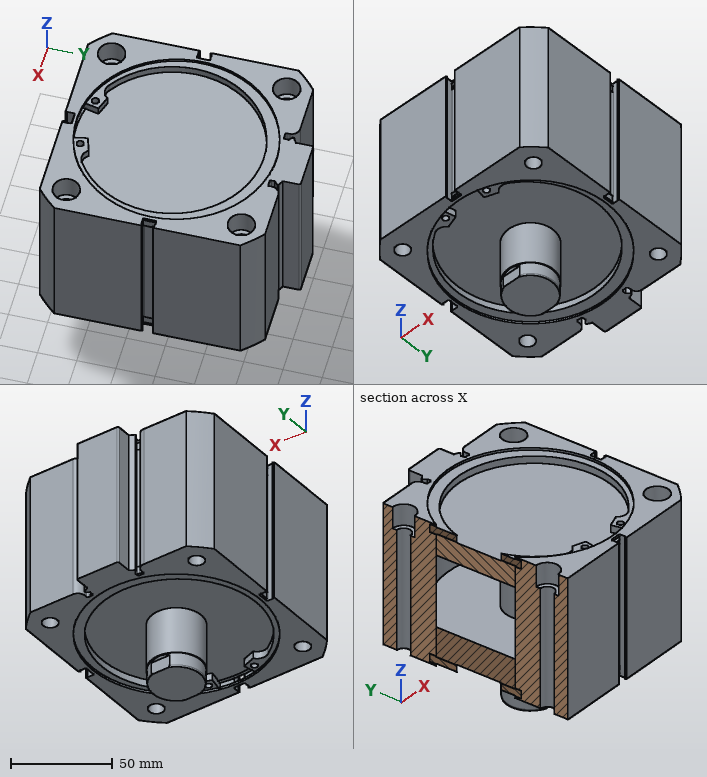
import cadquery as cq
import math


WIDTH = 115.0
TOTAL_DEPTH = 124.0
HALF_WIDTH = WIDTH / 2
HEIGHT = 82.5
CORNER_RADIUS = 74.5
BORE_RADIUS = 51.0

BLOCK_WIDTH = 25.3
BLOCK_TOP = TOTAL_DEPTH - HALF_WIDTH
BLOCK_EDGE_FILLET = 1.0
BARB_TIP_X = 15.5
BARB_TIP_TOP_Y = 56.0
BARB_TIP_BOTTOM_Y = 55.3
BARB_ROOT_Y = 53.7
GROOVE_INNER_X = 13.6
GROOVE_OUTER_X = 17.4
GROOVE_FLOOR_Y = 51.1
GROOVE_FLOOR_FILLET = 0.7
GROOVE_LIP_RADIUS = 4.2

SLOT_DEPTH = 4.7
SLOT_HALF_WIDTH = 3.3
SLOT_FLOOR_FILLET = 0.5
MOUTH_HALF_WIDTH = 2.6
MOUTH_CHAMFER = 0.5
LIP_DEPTH = 0.9
SLOT_ANGLES = (0, 180, 270)

BOLT_SPACING = 89.3
BOLT_DIAMETER = 8.4
COUNTERBORE_DIAMETER = 13.6
COUNTERBORE_DEPTH = 12.4

RING_INSET = 1.4
RING_THICKNESS = 4.2
RING_RADIUS = 53.0
RING_INNER_RADIUS = 46.7
RING_ECCENTRICITY = 2.2
RING_TURN = -0.8
GAP_OUTER_X = 11.7
LUG_TIP = (9.8, -42.7)
LUG_SHOULDER = (17.4, -40.0)
LUG_HOLLOW = (21.6, -42.5)
LUG_END_X = 25.3
LUG_HOLE = (14.1, -45.4)
LUG_HOLE_DIAMETER = 3.6
RING_BOTTOMS = (RING_INSET, HEIGHT - RING_INSET - RING_THICKNESS)

COVER_INSET = RING_INSET + RING_THICKNESS
REAR_COVER_THICKNESS = 12.4
FRONT_COVER_THICKNESS = 17.4
REAR_COVER_BOTTOM = HEIGHT - COVER_INSET - REAR_COVER_THICKNESS

ROD_LENGTH_OUTSIDE = 30.0
ROD_RADIUS = 15.0
TIP_RADIUS = 14.6
TIP_LENGTH = 8.4
TIP_CHAMFER_HEIGHT = 1.1
TIP_CHAMFER_WIDTH = 0.2
FLATS_DISTANCE = 27.0
FLATS_RAMP = 1.2


def mirrored_x(point):
    return (-point[0], point[1])


def centred_cylinder(radius, bottom, height):
    return cq.Workplane("XY").workplane(offset=bottom).circle(radius).extrude(height)


def port_block():
    """Block carried by the +Y face, overlapping the square body below that face."""
    depth = BLOCK_TOP - GROOVE_FLOOR_Y
    return (
        cq.Workplane("XY")
        .center(0, GROOVE_FLOOR_Y + depth / 2)
        .rect(BLOCK_WIDTH, depth)
        .extrude(HEIGHT)
        .edges("|Z and >Y")
        .fillet(BLOCK_EDGE_FILLET)
    )


def block_groove():
    """Barbed groove on the +X side of the port block."""
    lip_end_x = GROOVE_OUTER_X + GROOVE_LIP_RADIUS
    lip_start_y = HALF_WIDTH - GROOVE_LIP_RADIUS
    lip_mid = (
        lip_end_x - GROOVE_LIP_RADIUS * math.sqrt(0.5),
        lip_start_y + GROOVE_LIP_RADIUS * math.sqrt(0.5),
    )
    return (
        cq.Workplane("XY")
        .moveTo(BLOCK_WIDTH / 2, HALF_WIDTH)
        .lineTo(BARB_TIP_X, BARB_TIP_TOP_Y)
        .lineTo(BARB_TIP_X, BARB_TIP_BOTTOM_Y)
        .lineTo(GROOVE_INNER_X, BARB_ROOT_Y)
        .lineTo(GROOVE_INNER_X, GROOVE_FLOOR_Y)
        .lineTo(GROOVE_OUTER_X, GROOVE_FLOOR_Y)
        .lineTo(GROOVE_OUTER_X, lip_start_y)
        .threePointArc(lip_mid, (lip_end_x, HALF_WIDTH))
        .close()
        .extrude(HEIGHT)
        .edges("|Z and <Y")
        .fillet(GROOVE_FLOOR_FILLET)
    )


def sensor_slot(angle):
    """Slot in the +X face with a narrow, chamfered mouth, turned about Z by the angle."""
    floor_x = HALF_WIDTH - SLOT_DEPTH
    lip_x = HALF_WIDTH - LIP_DEPTH
    half_outline = [
        (floor_x, SLOT_HALF_WIDTH),
        (lip_x, SLOT_HALF_WIDTH),
        (lip_x, MOUTH_HALF_WIDTH),
        (HALF_WIDTH - MOUTH_CHAMFER, MOUTH_HALF_WIDTH),
        (HALF_WIDTH, MOUTH_HALF_WIDTH + MOUTH_CHAMFER),
    ]
    other_half = [(x, -y) for x, y in reversed(half_outline)]
    slot = (
        cq.Workplane("XY")
        .polyline(half_outline + other_half)
        .close()
        .extrude(HEIGHT)
        .edges("|Z and <X")
        .fillet(SLOT_FLOOR_FILLET)
    )
    return slot.rotate((0, 0, 0), (0, 0, 1), angle)


def make_housing():
    body = cq.Workplane("XY").rect(WIDTH, WIDTH).extrude(HEIGHT)
    body = body.intersect(centred_cylinder(CORNER_RADIUS, 0, HEIGHT))
    body = body.union(port_block())
    groove = block_groove()
    body = body.cut(groove).cut(groove.mirror("YZ"))
    for angle in SLOT_ANGLES:
        body = body.cut(sensor_slot(angle))
    body = (
        body.faces(">Z")
        .workplane(origin=(0, 0, HEIGHT))
        .rect(BOLT_SPACING, BOLT_SPACING, forConstruction=True)
        .vertices()
        .cboreHole(BOLT_DIAMETER, COUNTERBORE_DIAMETER, COUNTERBORE_DEPTH)
    )
    body = body.cut(centred_cylinder(BORE_RADIUS, 0, HEIGHT))
    for bottom in RING_BOTTOMS:
        body = body.cut(centred_cylinder(RING_RADIUS, bottom, RING_THICKNESS))
    return body


def make_retaining_ring(bottom):
    """Open ring with an eccentric inside and a pierced lug on each side of its gap."""
    gap_corner = (GAP_OUTER_X, -math.sqrt(RING_RADIUS**2 - GAP_OUTER_X**2))
    lug_end_drop = math.sqrt(RING_INNER_RADIUS**2 - LUG_END_X**2)
    lug_end = (LUG_END_X, -RING_ECCENTRICITY - lug_end_drop)
    ring = (
        cq.Workplane("XY")
        .workplane(offset=bottom)
        .moveTo(*gap_corner)
        .threePointArc((0, RING_RADIUS), mirrored_x(gap_corner))
        .lineTo(*mirrored_x(LUG_TIP))
        .lineTo(*mirrored_x(LUG_SHOULDER))
        .threePointArc(mirrored_x(LUG_HOLLOW), mirrored_x(lug_end))
        .threePointArc((0, RING_INNER_RADIUS - RING_ECCENTRICITY), lug_end)
        .threePointArc(LUG_HOLLOW, LUG_SHOULDER)
        .lineTo(*LUG_TIP)
        .close()
        .extrude(RING_THICKNESS)
    )
    holes = (
        cq.Workplane("XY")
        .workplane(offset=bottom)
        .pushPoints([LUG_HOLE, mirrored_x(LUG_HOLE)])
        .circle(LUG_HOLE_DIAMETER / 2)
        .extrude(RING_THICKNESS)
    )
    return ring.cut(holes).rotate((0, 0, 0), (0, 0, 1), RING_TURN)


def make_rear_cover():
    return centred_cylinder(BORE_RADIUS, REAR_COVER_BOTTOM, REAR_COVER_THICKNESS)


def make_front_cover():
    cover = centred_cylinder(BORE_RADIUS, COVER_INSET, FRONT_COVER_THICKNESS)
    return cover.cut(centred_cylinder(ROD_RADIUS, COVER_INSET, FRONT_COVER_THICKNESS))


def flat_cutter():
    """Material removed on the +Y side of the rod tip; a 45 degree ramp ends it at the shoulder."""
    end_z = -ROD_LENGTH_OUTSIDE
    shoulder_z = end_z + TIP_LENGTH
    flat_y = FLATS_DISTANCE / 2
    outline = [
        (flat_y, end_z),
        (ROD_RADIUS, end_z),
        (ROD_RADIUS, shoulder_z),
        (flat_y + FLATS_RAMP, shoulder_z),
        (flat_y, shoulder_z - FLATS_RAMP),
    ]
    return cq.Workplane("YZ").polyline(outline).close().extrude(ROD_RADIUS, both=True)


def make_rod():
    """Round rod reaching up to the rear cover, with a reduced tip that has two wrench flats."""
    end_z = -ROD_LENGTH_OUTSIDE
    shoulder_z = end_z + TIP_LENGTH
    profile = [
        (0, end_z),
        (TIP_RADIUS - TIP_CHAMFER_WIDTH, end_z),
        (TIP_RADIUS, end_z + TIP_CHAMFER_HEIGHT),
        (TIP_RADIUS, shoulder_z),
        (ROD_RADIUS, shoulder_z),
        (ROD_RADIUS, REAR_COVER_BOTTOM),
        (0, REAR_COVER_BOTTOM),
    ]
    rod = cq.Workplane("XZ").polyline(profile).close().revolve(360, (0, 0, 0), (0, 1, 0))
    cutter = flat_cutter()
    return rod.cut(cutter).cut(cutter.mirror("XZ"))


housing = make_housing()
retaining_rings = [make_retaining_ring(bottom) for bottom in RING_BOTTOMS]
rear_cover = make_rear_cover()
front_cover = make_front_cover()
rod = make_rod()

result = cq.Compound.makeCompound(
    [
        housing.val(),
        *[ring.val() for ring in retaining_rings],
        rear_cover.val(),
        front_cover.val(),
        rod.val(),
    ]
)